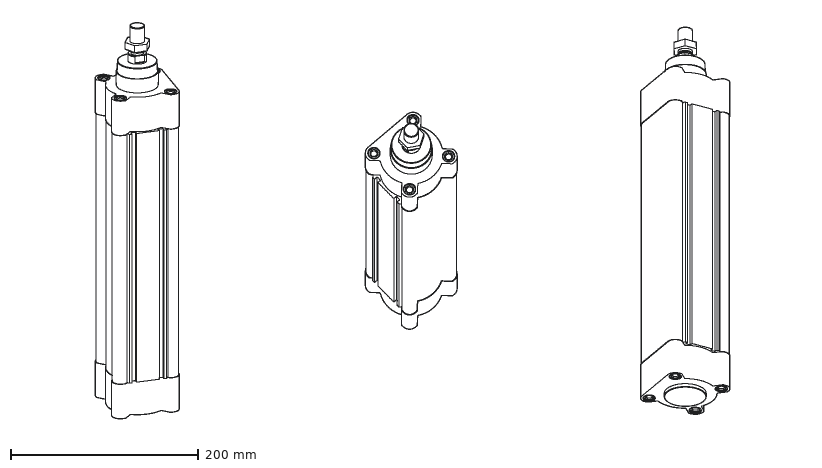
import cadquery as cq
import math

cap_width = 75.0
hole_spacing = 56.5
groove_mouth = 50.8
cap_disc_radius = 34.0
groove_edge_radius = 2.0
groove_root_radius = 1.0
barrel_inset = 0.7
groove_inset = 0.5
barrel_edge_radius = 3.5

spigot_diameter = 45.0
spigot_height = 4.0
spigot_chamfer = 0.5
cap_height = 40.2
housing_length = 370.1
collar_height = 16.0
nose_height = 12.0
nose_base_diameter = 43.2
nose_tip_diameter = 42.6
nose_chamfer = 0.6

rail_width = 25.4
slot_width = 5.2
slot_depth = 3.8
rib_width = 2.8

recess_diameter = 12.0
recess_chamfer = 0.6
recess_depth = 0.8
thread_entry_diameter = 8.8
thread_diameter = 6.65
thread_depth = 16.0
drill_point_angle = 118.0

rod_diameter = 20.0
rod_extension = 37.0
rod_chamfer = 0.6
flat_size = 17.0
flat_height = 7.5
thread_outer_diameter = 16.0
thread_length = 32.0
thread_chamfer = 0.8
relief_diameter = 13.9
relief_length = 2.5

nut_size = 24.0
nut_height = 8.0
nut_gap = 6.0

screw_offset = hole_spacing / 2
half_cap = cap_width / 2
half_barrel = half_cap - barrel_inset
rear_face = spigot_height
front_face = rear_face + housing_length
barrel_start = rear_face + cap_height
barrel_end = front_face - cap_height
rod_shoulder = front_face + rod_extension
nose_start = front_face + collar_height


def cylinder(diameter, start, height):
    return cq.Workplane("XY", origin=(0, 0, start)).circle(diameter / 2).extrude(height)


def cone(base_diameter, tip_diameter, start, height):
    return cq.Workplane(
        cq.Solid.makeCone(base_diameter / 2, tip_diameter / 2, height, cq.Vector(0, 0, start))
    )


def half_mouth(lobe_inset, flank_inset):
    """Half width of a groove mouth, before rounding, on a block with inset lobes and flanks."""
    return groove_mouth / 2 - lobe_inset + flank_inset * math.sqrt(2)


def round_grooves(block, across, out, start, radius):
    """Fillet the upright edge at (across, out) on both sides of each of the three grooves."""
    for side in (-across, across):
        for x, y in ((side, -out), (-out, side), (out, side)):
            block = block.edges("|Z").edges(cq.NearestToPointSelector((x, y, start))).fillet(radius)
    return block


def lobed_block(lobe_inset, flank_inset, edge_radius, start, end):
    """Rounded square with 45 degree grooves on -Y, -X and +X that end on a disc."""
    half = half_cap - lobe_inset
    mouth = half_mouth(lobe_inset, flank_inset)
    disc_radius = cap_disc_radius - flank_inset
    length = end - start
    block = (
        cq.Workplane("XY", origin=(0, 0, start))
        .rect(2 * half, 2 * half)
        .extrude(length)
        .edges("|Z")
        .fillet(half - screw_offset)
    )
    groove = (
        cq.Workplane("XY", origin=(0, 0, start))
        .polyline([(-mouth, -half), (mouth, -half), (0, mouth - half)])
        .close()
        .extrude(length)
        .cut(cylinder(2 * disc_radius, start, length))
    )
    for angle in (-90, 0, 90):
        block = block.cut(groove.rotate((0, 0, 0), (0, 0, 1), angle))

    flank_rise = half - mouth
    root = (math.sqrt(2 * disc_radius**2 - flank_rise**2) - flank_rise) / 2
    block = round_grooves(block, mouth, half, start, edge_radius)
    return round_grooves(block, root, root + flank_rise, start, groove_root_radius)


def corner_recess():
    """Screw recess with a threaded hole, opening upward at Z = 0."""
    thread_floor = -recess_depth - thread_depth
    entry_height = (thread_entry_diameter - thread_diameter) / 2
    point_height = thread_diameter / 2 / math.tan(math.radians(drill_point_angle / 2))
    return (
        cylinder(recess_diameter, -recess_depth, recess_depth)
        .union(cone(recess_diameter, recess_diameter + 2 * recess_chamfer, -recess_chamfer, recess_chamfer))
        .union(cone(thread_diameter, thread_entry_diameter, -recess_depth - entry_height, entry_height))
        .union(cylinder(thread_diameter, thread_floor, -thread_floor))
        .union(cone(0, thread_diameter, thread_floor - point_height, point_height))
    )


def make_barrel():
    """Lobed barrel whose side grooves hold a rail and two ribs with slots between them."""
    length = barrel_end - barrel_start
    barrel = lobed_block(barrel_inset, groove_inset, barrel_edge_radius, barrel_start, barrel_end)

    rib_edge = rail_width / 2 + slot_width + rib_width
    lobe_gap = half_mouth(barrel_inset, groove_inset) - rib_edge
    rib_foot = rib_edge + lobe_gap / 2
    foot_x = half_barrel - lobe_gap / 2
    rail = (
        cq.Workplane("XY", origin=(0, 0, barrel_start))
        .polyline(
            [
                (half_barrel, -rib_edge),
                (half_barrel, rib_edge),
                (foot_x, rib_foot),
                (0, rib_foot),
                (0, -rib_foot),
                (foot_x, -rib_foot),
            ]
        )
        .close()
        .extrude(length)
    )
    slot_offset = (rail_width + slot_width) / 2
    slots = (
        cq.Workplane("XY", origin=(half_barrel, 0, barrel_start))
        .pushPoints([(0, -slot_offset), (0, slot_offset)])
        .rect(2 * slot_depth, slot_width)
        .extrude(length)
    )
    for angle in (0, 180):
        barrel = barrel.union(rail.rotate((0, 0, 0), (0, 0, 1), angle))
    for angle in (0, 180):
        barrel = barrel.cut(slots.rotate((0, 0, 0), (0, 0, 1), angle))
    return barrel


def make_housing():
    """End caps, barrel, rear spigot and front collar in one piece."""
    rear_cap = lobed_block(0, 0, groove_edge_radius, rear_face, barrel_start)
    front_cap = lobed_block(0, 0, groove_edge_radius, barrel_end, front_face)
    spigot = cylinder(spigot_diameter, 0, spigot_height).faces("<Z").chamfer(spigot_chamfer)
    collar = cylinder(spigot_diameter, front_face, collar_height)
    nose = cone(nose_base_diameter, nose_tip_diameter, nose_start, nose_height)
    nose = nose.faces(">Z").chamfer(nose_chamfer)
    housing = make_barrel().union(rear_cap).union(front_cap).union(spigot).union(collar).union(nose)

    recess = corner_recess()
    rear_recess = recess.rotate((0, 0, 0), (1, 0, 0), 180)
    for x in (-screw_offset, screw_offset):
        for y in (-screw_offset, screw_offset):
            housing = housing.cut(recess.translate((x, y, front_face)))
            housing = housing.cut(rear_recess.translate((x, y, rear_face)))

    rod_bore = cylinder(rod_diameter, barrel_end, nose_start + nose_height - barrel_end)
    return housing.cut(rod_bore)


def make_rod():
    """Piston rod with two wrench flats on +X and -X, a thread relief and a threaded end."""
    rod = cylinder(rod_diameter, barrel_end, rod_shoulder - barrel_end).faces(">Z").chamfer(rod_chamfer)
    for side in (-1, 1):
        flat_cut = cq.Workplane("XY").box(rod_diameter, rod_diameter, flat_height).translate(
            (side * (flat_size + rod_diameter) / 2, 0, rod_shoulder - flat_height / 2)
        )
        rod = rod.cut(flat_cut)
    relief = cylinder(relief_diameter, rod_shoulder, relief_length)
    thread = (
        cylinder(thread_outer_diameter, rod_shoulder + relief_length, thread_length - relief_length)
        .faces("<Z or >Z")
        .chamfer(thread_chamfer)
    )
    return rod.union(relief).union(thread)


def make_nut():
    """Hexagon lock nut with flats facing +X and -X."""
    across_corners = nut_size / math.cos(math.pi / 6)
    return (
        cq.Workplane("XY", origin=(0, 0, rod_shoulder + nut_gap))
        .transformed(rotate=(0, 0, 90))
        .polygon(6, across_corners)
        .circle(thread_outer_diameter / 2)
        .extrude(nut_height)
    )


housing = make_housing()
rod = make_rod()
nut = make_nut()

result = cq.Compound.makeCompound([housing.solids().val(), rod.solids().val(), nut.val()])